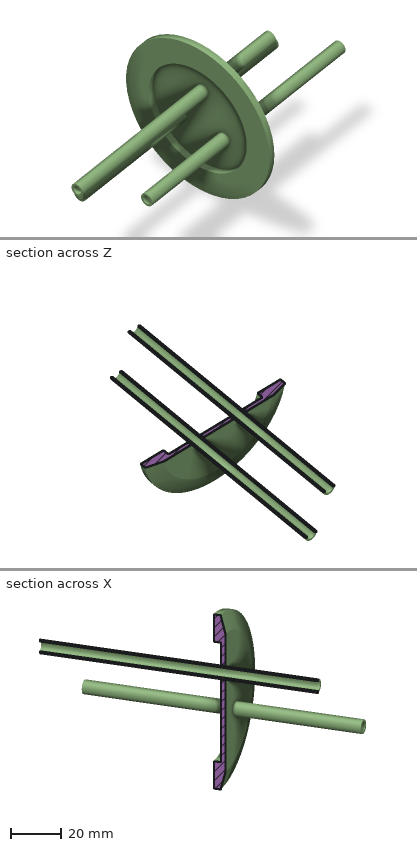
import cadquery as cq
import math

flange_diameter = 75.0
rim_thickness = 3.0
flange_thickness = 5.1
taper_angle = 15.0
recess_diameter = 51.2
recess_depth = 3.0

tube_outer_diameter = 6.0
tube_bore_diameter = 4.0
tube_length = 120.0
tube_circle_radius = 12.9
tube_stagger = 15.0

tube_placements = [
    (90.0, -tube_stagger),
    (210.0, 0.0),
    (330.0, tube_stagger),
]


def cylinder_along_y(diameter, front_y, length, x=0.0, z=0.0):
    """Solid cylinder that runs from front_y towards +Y."""
    return (
        cq.Workplane("XZ", origin=(x, front_y, z))
        .circle(diameter / 2)
        .extrude(-length)
    )


def tube_center(angle):
    """X and Z of a tube axis on the tube circle."""
    x = tube_circle_radius * math.cos(math.radians(angle))
    z = tube_circle_radius * math.sin(math.radians(angle))
    return x, z


def make_flange():
    """Disc with a rear clamping cone, a front recess and holes for the tubes."""
    rim_radius = flange_diameter / 2
    cone_height = flange_thickness - rim_thickness
    rear_radius = rim_radius - cone_height / math.tan(math.radians(taper_angle))
    body = (
        cq.Workplane("XY")
        .polyline([
            (0, 0),
            (rim_radius, 0),
            (rim_radius, rim_thickness),
            (rear_radius, flange_thickness),
            (0, flange_thickness),
        ])
        .close()
        .revolve(360, (0, 0), (0, 1))
    )
    body = body.cut(cylinder_along_y(recess_diameter, 0, recess_depth))
    for angle, _ in tube_placements:
        x, z = tube_center(angle)
        body = body.cut(cylinder_along_y(tube_outer_diameter, 0, flange_thickness, x, z))
    return body


def make_tube(angle, middle_y):
    """Straight tube, open at both ends."""
    x, z = tube_center(angle)
    front_y = middle_y - tube_length / 2
    outside = cylinder_along_y(tube_outer_diameter, front_y, tube_length, x, z)
    bore = cylinder_along_y(tube_bore_diameter, front_y, tube_length, x, z)
    return outside.cut(bore)


flange = make_flange()
tubes = [make_tube(angle, middle_y) for angle, middle_y in tube_placements]

result = cq.Compound.makeCompound([flange.val(), *[tube.val() for tube in tubes]])